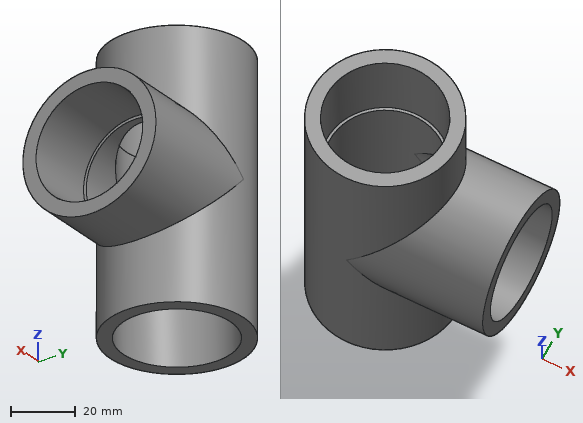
import cadquery as cq

run_length = 96.0
branch_reach = run_length / 2
outer_diameter = 50.0
socket_diameter = 40.0
bore_diameter = 38.0
socket_depth = 26.0
half_run = run_length / 2


def run_cylinder(diameter, start, end):
    """Cylinder on the Z axis between two heights."""
    return cq.Workplane("XY").workplane(offset=start).circle(diameter / 2).extrude(end - start)


def branch_cylinder(diameter, start, end):
    """Cylinder on the X axis between two distances from the run axis."""
    return cq.Workplane("YZ").workplane(offset=start).circle(diameter / 2).extrude(end - start)


body = run_cylinder(outer_diameter, -half_run, half_run)
body = body.union(branch_cylinder(outer_diameter, 0, branch_reach))

body = body.cut(run_cylinder(bore_diameter, -half_run, half_run))
body = body.cut(branch_cylinder(bore_diameter, 0, branch_reach))

body = body.cut(run_cylinder(socket_diameter, half_run - socket_depth, half_run))
body = body.cut(run_cylinder(socket_diameter, -half_run, socket_depth - half_run))
body = body.cut(branch_cylinder(socket_diameter, branch_reach - socket_depth, branch_reach))

result = body